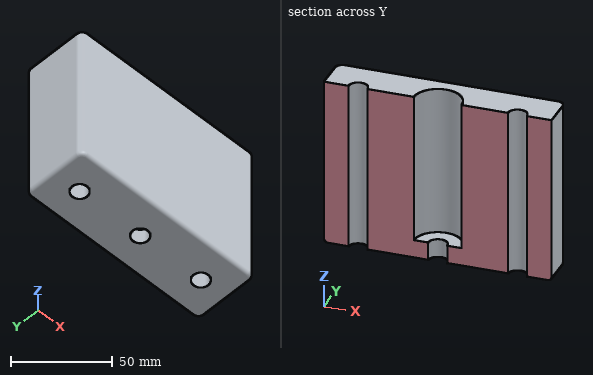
import cadquery as cq

length = 120.0
width = 40.0
height = 90.0
corner_radius = 4.0
bottom_fillet = 2.0

hole_diameter = 10.0
side_hole_offset = 42.0
bore_diameter = 25.0
bore_floor = 10.0


def rounded_block():
    """Block standing on Z = 0 with round upright edges and a round bottom rim."""
    block = cq.Workplane("XY").box(length, width, height, centered=(True, True, False))
    return block.edges("|Z").fillet(corner_radius).faces("<Z").edges().fillet(bottom_fillet)


def through_holes():
    """Three equal holes that run through the full height."""
    centres = [(x, 0) for x in (-side_hole_offset, 0, side_hole_offset)]
    return cq.Workplane("XY").pushPoints(centres).circle(hole_diameter / 2).extrude(height)


def central_bore():
    """Wide bore sunk from the top around the middle hole."""
    return (
        cq.Workplane("XY")
        .workplane(offset=bore_floor)
        .circle(bore_diameter / 2)
        .extrude(height - bore_floor)
    )


result = rounded_block().cut(through_holes()).cut(central_bore())